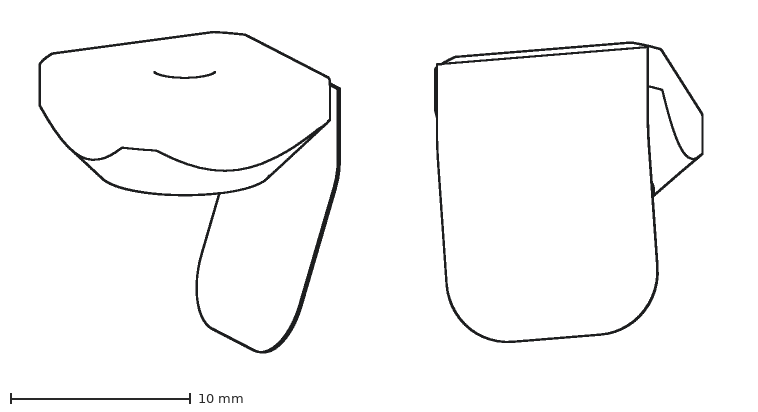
import cadquery as cq
import math

block_side = 13.0
block_height = 6.0
corner_radius = 8.25
straight_depth = 2.5
edge_fillet = 0.25
hole_diameter = 3.3

leaf_width = 12.04
total_height = 16.05
leaf_thickness = 0.15
leaf_top_drop = 0.5
bend_start_depth = 4.6
bend_inner_radius = 5.0
bend_angle = math.radians(18.2)
leaf_corner_radius = 3.5


def make_block():
    """Square block with rounded edges, conical underside and a through hole."""
    square = cq.Workplane("XY").rect(block_side, block_side).extrude(-block_height)
    round_bar = cq.Workplane("XY").circle(corner_radius).extrude(-block_height)
    body = square.intersect(round_bar).edges("|Z").fillet(edge_fillet)
    body = body.cut(cq.Workplane("XY").circle(hole_diameter / 2).extrude(-block_height))
    body = body.faces(">Z").edges().fillet(edge_fillet)

    nose_radius = corner_radius - (block_height - straight_depth)
    taper_envelope = (
        cq.Workplane("XZ")
        .moveTo(0, 0)
        .lineTo(corner_radius, 0)
        .lineTo(corner_radius, -straight_depth)
        .lineTo(nose_radius, -block_height)
        .lineTo(0, -block_height)
        .close()
        .revolve(360, (0, 0, 0), (0, 1, 0))
    )
    return body.intersect(taper_envelope)


def make_leaf():
    """Constant-thickness bent strip with two large round corners at its free end."""
    inner_y = block_side / 2
    outer_y = inner_y + leaf_thickness
    bend_outer_radius = bend_inner_radius + leaf_thickness
    bend_center_y = inner_y - bend_inner_radius
    leg_drop = total_height - bend_start_depth - bend_outer_radius * math.sin(bend_angle)
    leg_length = leg_drop / math.cos(bend_angle)

    def bend_point(radius, angle):
        return (
            bend_center_y + radius * math.cos(angle),
            -bend_start_depth - radius * math.sin(angle),
        )

    def leg_end(radius):
        y, z = bend_point(radius, bend_angle)
        return (y - leg_length * math.sin(bend_angle), z - leg_length * math.cos(bend_angle))

    strip = (
        cq.Workplane("YZ")
        .moveTo(outer_y, -leaf_top_drop)
        .lineTo(outer_y, -bend_start_depth)
        .threePointArc(
            bend_point(bend_outer_radius, bend_angle / 2),
            bend_point(bend_outer_radius, bend_angle),
        )
        .lineTo(*leg_end(bend_outer_radius))
        .lineTo(*leg_end(bend_inner_radius))
        .lineTo(*bend_point(bend_inner_radius, bend_angle))
        .threePointArc(bend_point(bend_inner_radius, bend_angle / 2), (inner_y, -bend_start_depth))
        .lineTo(inner_y, -leaf_top_drop)
        .close()
        .extrude(leaf_width / 2, both=True)
    )
    return strip.faces("<Z").edges("not |X").fillet(leaf_corner_radius)


block = make_block()
leaf = make_leaf()

result = cq.Compound.makeCompound([block.val(), leaf.val()])